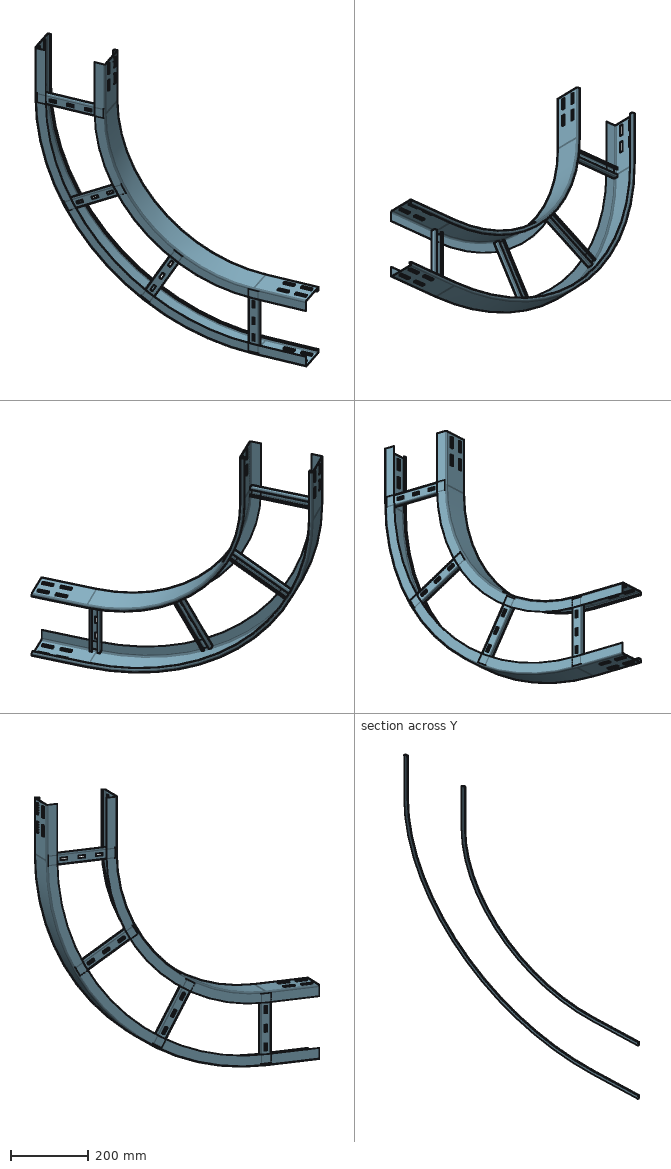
import cadquery as cq
import math

overall = 770.0
depth = 80.0
ladder_width = 200.0
arm_length = 150.0

sheet = 1.9

rail_fold_radius = 4.0
flange_width = 31.0
lip_width = 11.5
lip_return = 9.0

web_slot_length = 30.0
web_slot_height = 9.0
web_slot_end_gap = 10.0
web_slot_rows = 2
web_slot_pitch = 50.0
web_slot_depths = (25.0, 60.0)

rung_angles = (0, 30, 60, 90)
rung_width = 30.0
rung_depth = 15.5
rung_fold_radius = 2.0
rung_lip = 8.0
rung_end_gap = 6.0
rung_slot_count = 3
rung_slot_length = 19.0
rung_slot_width = 7.0
rung_slot_pitch = 50.0

outer_radius = overall - arm_length
bend_centre = outer_radius
inner_radius = outer_radius - ladder_width
rung_length = ladder_width - 2 * rung_end_gap


def point_toward(start, end, distance):
    """Point at a distance from start on the straight line to end."""
    share = distance / math.dist(start, end)
    return tuple(s + share * (e - s) for s, e in zip(start, end))


def folded_outline(plane, corners):
    """Closed outline from (point, radius) corners; each right-angled corner is rounded by its radius."""
    outline = plane.moveTo(*corners[0][0])
    for index in range(1, len(corners)):
        corner, radius = corners[index]
        if radius == 0:
            outline = outline.lineTo(*corner)
            continue
        before = corners[index - 1][0]
        after = corners[(index + 1) % len(corners)][0]
        arc_start = point_toward(corner, before, radius)
        arc_end = point_toward(corner, after, radius)
        centre = tuple(s + e - c for s, e, c in zip(arc_start, arc_end, corner))
        arc_middle = point_toward(centre, corner, radius)
        outline = outline.lineTo(*arc_start).threePointArc(arc_middle, arc_end)
    return outline.close()


def rail_profile(web_level, side):
    """Rail section at the +X end; side is +1 or -1, the Z direction the flanges point in."""
    outer_fold = rail_fold_radius
    inner_fold = rail_fold_radius - sheet
    corners = [
        ((0, flange_width), 0),
        ((0, 0), outer_fold),
        ((depth, 0), outer_fold),
        ((depth, lip_width), outer_fold),
        ((depth - lip_return, lip_width), 0),
        ((depth - lip_return, lip_width - sheet), 0),
        ((depth - sheet, lip_width - sheet), inner_fold),
        ((depth - sheet, sheet), inner_fold),
        ((sheet, sheet), inner_fold),
        ((sheet, flange_width), 0),
    ]
    placed = [((y, web_level + side * across), radius) for (y, across), radius in corners]
    return folded_outline(cq.Workplane("YZ", origin=(overall, 0, 0)), placed)


def rail_path(radius):
    """Line of the web face: straight arm, quarter circle, straight arm."""
    level = bend_centre - radius
    return (
        cq.Workplane("XZ")
        .moveTo(overall, level)
        .lineTo(bend_centre, level)
        .tangentArcPoint((level, bend_centre), relative=False)
        .lineTo(level, overall)
    )


def web_slots(web_level):
    """Cutters for the slots through the webs of both arms of one rail."""
    cut_through = 4 * sheet
    cutters = cq.Workplane("XY")
    for row in range(web_slot_rows):
        along = overall - web_slot_end_gap - web_slot_length / 2 - row * web_slot_pitch
        for y in web_slot_depths:
            lower = cq.Workplane("XY").box(web_slot_length, web_slot_height, cut_through)
            upright = cq.Workplane("XY").box(cut_through, web_slot_height, web_slot_length)
            cutters = cutters.add(lower.translate((along, y, web_level)))
            cutters = cutters.add(upright.translate((web_level, y, along)))
    return cutters.combine()


def make_rail(radius, side):
    """One swept rail with its web face at the given radius about the bend centre."""
    web_level = bend_centre - radius
    rail = rail_profile(web_level, side).sweep(rail_path(radius))
    return rail.cut(web_slots(web_level))


def rung_profile():
    """Rung section across its length: a lipped channel with its open side toward the back."""
    half_width = rung_width / 2
    inner_half = half_width - sheet
    lip_edge = half_width - rung_lip
    outer_fold = rung_fold_radius
    inner_fold = rung_fold_radius - sheet
    right_half = [
        ((half_width, 0), outer_fold),
        ((half_width, rung_depth), outer_fold),
        ((lip_edge, rung_depth), 0),
        ((lip_edge, rung_depth - sheet), 0),
        ((inner_half, rung_depth - sheet), inner_fold),
        ((inner_half, sheet), inner_fold),
    ]
    left_half = [((-x, y), radius) for (x, y), radius in reversed(right_half)]
    front_middle = ((0, 0), 0)
    return folded_outline(cq.Workplane("XY"), [front_middle, *right_half, *left_half])


def make_rung(angle):
    """Slotted rung behind the rail flanges, turned about the bend centre from straight down."""
    slots = (
        cq.Workplane("XZ", origin=(0, rung_depth / 2, 0))
        .center(0, rung_length / 2)
        .rarray(8, rung_slot_pitch, 1, rung_slot_count)
        .rect(rung_slot_width, rung_slot_length)
        .extrude(rung_depth)
    )
    rung = rung_profile().extrude(rung_length).cut(slots)
    rung_foot = (bend_centre, sheet, bend_centre - outer_radius + rung_end_gap)
    axis_start = (bend_centre, 0, bend_centre)
    axis_end = (bend_centre, 1, bend_centre)
    return rung.translate(rung_foot).rotate(axis_start, axis_end, angle)


outer_rail = make_rail(outer_radius, 1)
inner_rail = make_rail(inner_radius, -1)
rungs = [make_rung(angle) for angle in rung_angles]

result = cq.Compound.makeCompound(
    [outer_rail.val(), inner_rail.val(), *[rung.val() for rung in rungs]]
)